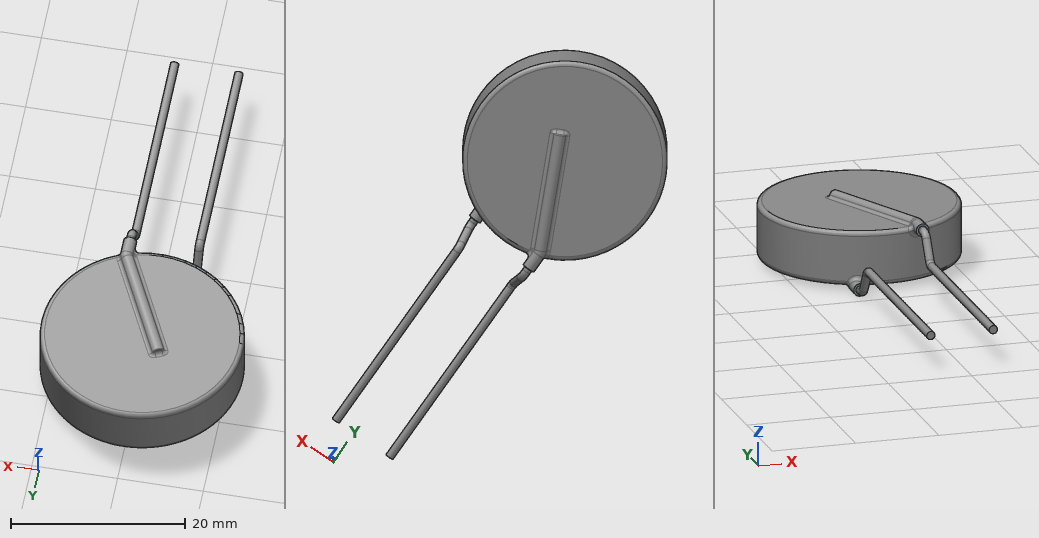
import cadquery as cq
import math

overall_length = 52.4
overall_thickness = 8.0

disc_radius = 11.75
disc_height = 6.5
disc_edge_radius = 0.5

coat_blend_radius = 0.5
coat_bend_radius = 1.25
coat_end_rounding = 0.1
coat_corner_y = -10.4
coat_run_length = 14.15
coat_run_angle = 25.5
sleeve_end_y = -12.7

lead_radius = 0.5
lead_spacing = 7.5
lead_bend_angle = 58.0
upper_bend_radius = 1.25
lower_bend_radius = 0.95
lower_corner_y = -15.85

contact_tolerance = 0.0005
edge_sample_fractions = (0.3, 0.5, 0.7)

lead_x = lead_spacing / 2
face_z = disc_height / 2
coat_radius = (overall_thickness - disc_height) / 2
lead_tip_y = disc_radius - overall_length
upper_corner_y = lower_corner_y + face_z / math.tan(math.radians(lead_bend_angle))


def bent_path(start, corners, end):
    """Polyline from start to end whose corners, given as (point, radius), are tangent arcs."""
    points = [cq.Vector(*start)] + [cq.Vector(*point) for point, _ in corners] + [cq.Vector(*end)]
    edges = []
    position = points[0]
    for index, (_, radius) in enumerate(corners, start=1):
        corner = points[index]
        incoming = (corner - points[index - 1]).normalized()
        outgoing = (points[index + 1] - corner).normalized()
        turn = incoming.getAngle(outgoing)
        setback = radius * math.tan(turn / 2)
        arc_start = corner - incoming * setback
        arc_end = corner + outgoing * setback
        edges.append(cq.Edge.makeLine(position, arc_start))
        edges.append(cq.Edge.makeTangentArc(arc_start, incoming, arc_end))
        position = arc_end
    edges.append(cq.Edge.makeLine(position, points[-1]))
    return cq.Wire.assembleEdges(edges)


def round_bar(path, radius):
    """Round bar of the given radius swept along a path."""
    start_plane = cq.Plane(origin=path.startPoint(), normal=path.tangentAt(0))
    return cq.Workplane(start_plane).circle(radius).sweep(cq.Workplane(path))


def half_turn(body):
    """The same body carried to the opposite face by a half turn about the Y axis."""
    return body.rotate((0, 0, 0), (0, 1, 0), 180)


def make_coat_bar():
    """Upper coated bar: a short sleeve along Y, then the run across the disc with a rounded end."""
    angle = math.radians(coat_run_angle)
    sleeve_end = (lead_x, sleeve_end_y, face_z)
    corner = (lead_x, coat_corner_y, face_z)
    inner_end = (
        lead_x - coat_run_length * math.sin(angle),
        coat_corner_y + coat_run_length * math.cos(angle),
        face_z,
    )
    bar = round_bar(bent_path(sleeve_end, [(corner, coat_bend_radius)], inner_end), coat_radius)
    return bar.faces(cq.selectors.NearestToPointSelector(inner_end)).edges().fillet(coat_end_rounding)


def lies_on(edge, shape):
    """True when the edge runs along the skin of the shape."""
    skin = shape.Shells()[0]
    samples = [edge.positionAt(fraction) for fraction in edge_sample_fractions]
    return all(cq.Vertex.makeVertex(*point.toTuple()).distance(skin) < contact_tolerance for point in samples)


def make_disc():
    blank = cq.Workplane("XY").workplane(offset=-face_z).circle(disc_radius).extrude(disc_height)
    return blank.edges().fillet(disc_edge_radius)


def make_coated_disc():
    """Disc with a coated bar on each face, blended all round where they meet."""
    disc = make_disc()
    upper_bar = make_coat_bar()
    bars = [upper_bar, half_turn(upper_bar)]
    body = disc.union(bars[0]).union(bars[1])
    seams = [
        edge
        for edge in body.edges().vals()
        if lies_on(edge, disc.val()) and any(lies_on(edge, bar.val()) for bar in bars)
    ]
    return body.newObject(seams).fillet(coat_blend_radius)


def make_lead():
    """Bare wire from the sleeve end, cranked down to the mid plane and on to its tip."""
    path = bent_path(
        (lead_x, sleeve_end_y, face_z),
        [
            ((lead_x, upper_corner_y, face_z), upper_bend_radius),
            ((lead_x, lower_corner_y, 0), lower_bend_radius),
        ],
        (lead_x, lead_tip_y, 0),
    )
    return round_bar(path, lead_radius)


coated_disc = make_coated_disc()
upper_lead = make_lead()
leads = [upper_lead, half_turn(upper_lead)]
result = cq.Compound.makeCompound([coated_disc.val(), *[lead.val() for lead in leads]])